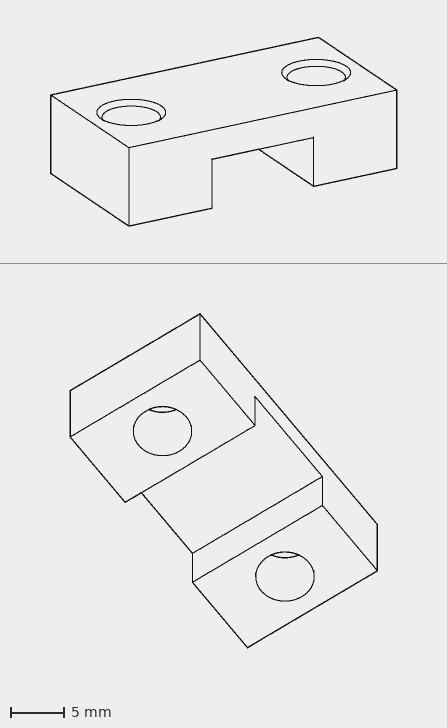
import cadquery as cq

width = 15.0
length = 29.0
height = 8.0

channel_length = 11.0
channel_depth = 5.0

hole_diameter = 5.5
hole_spacing = 20.0
hole_chamfer = 0.5


def make_bridge():
    """Block standing on Z = 0 with a channel running through along X."""
    block = cq.Workplane("XY").box(width, length, height, centered=(True, True, False))
    channel = cq.Workplane("XY").box(
        width, channel_length, channel_depth, centered=(True, True, False)
    )
    return block.cut(channel)


def make_hole_cutter(y):
    """Through hole at the given Y, with a 45 degree chamfer at the top."""
    hole_radius = hole_diameter / 2
    rim_radius = hole_radius + hole_chamfer
    profile = [
        (0, 0),
        (hole_radius, 0),
        (hole_radius, height - hole_chamfer),
        (rim_radius, height),
        (0, height),
    ]
    cutter = cq.Workplane("XZ").polyline(profile).close().revolve(360, (0, 0), (0, 1))
    return cutter.translate((0, y, 0))


result = make_bridge()
for side in (-1, 1):
    result = result.cut(make_hole_cutter(side * hole_spacing / 2))